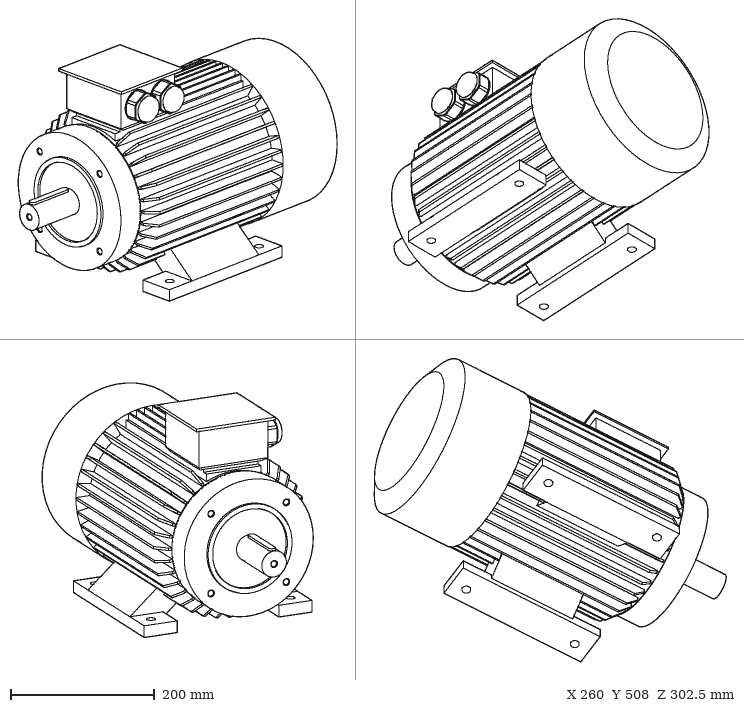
import cadquery as cq
import math


overall_length = 508.0
shaft_length = 80.5
back_y = overall_length - shaft_length
shaft_height = 132.0
top_z = 170.5
overlap = 5.0

flange_diameter = 200.0
flange_thickness = 39.5
spigot_diameter = 130.0
spigot_height = 4.0
recess_diameter = 116.0
flange_hole_circle = 165.0

tapped_hole_diameter = 8.0
tapped_hole_mouth = 10.0
tapped_hole_depth = 15.0
drill_point_angle = 118.0

shaft_diameter = 38.0
key_width = 10.0
key_top_z = 22.0
key_height = 8.0
key_length = 73.5
key_end_gap = 2.0

core_diameter = 197.0
fin_diameter = 237.5
fin_thickness = 3.5
fin_count = 36
fin_front_y = 43.0
fin_bevel = 16.0
top_angle = 90.0
bare_half_angle = 25.0

cowl_diameter = 240.0
cowl_length = 125.0
cowl_back_diameter = 183.0
cowl_taper_length = 17.5
cowl_front_y = back_y - cowl_length

box_centre_y = 101.5
lid_width = 122.0
lid_thickness = 4.0
box_width = 106.0
box_bottom_z = 104.0
box_bevel_height = 6.0
box_side_inset = 5.0
box_front_inset = 8.5
box_back_inset = 4.0

block_width = 84.5
block_front_y = 48.0
block_top_z = box_bottom_z
block_ledge_z = 100.0
block_ledge_back_y = box_centre_y - box_width / 2 + box_front_inset
top_fin_count = 7
top_fin_pitch = 12.0
top_fin_thickness = 3.0
top_fin_front_y = 165.0
top_fin_bevel = 9.5

gland_ys = (78.0, 128.0)
gland_z = 138.0
gland_collar_diameter = 43.5
gland_collar_thickness = 2.0
gland_nut_across_flats = 41.5
gland_nut_across_corners = 45.5
gland_nut_end_x = 72.5
gland_nut_bevel = 1.0
gland_neck_diameter = 32.5
gland_cap_diameter = 37.0
gland_cap_start_x = 74.5
gland_cap_end_x = 83.0
gland_cap_rounding = 5.0

foot_outer_x = 130.0
foot_width = 51.5
foot_thickness = 17.5
foot_length = 224.5
foot_centre_y = 178.0
foot_hole_diameter = 12.0
foot_hole_x = 108.0
foot_hole_spacing = 178.0
web_front_y = 110.5
web_back_y = 244.0
web_angle = 40.9
web_reach = 76.0
web_foot_overlap = 8.0


def cylinder_y(diameter, start_y, end_y):
    """Cylinder on the motor axis from start_y to end_y."""
    plane = cq.Workplane("XZ", origin=(0, end_y, 0))
    return plane.circle(diameter / 2).extrude(end_y - start_y)


def box_between(x_range, y_range, z_range):
    """Upright block filling the given ranges."""
    size = [high - low for low, high in (x_range, y_range, z_range)]
    corner = (x_range[0], y_range[0], z_range[0])
    return cq.Workplane("XY").box(*size, centered=False).translate(corner)


def tapped_hole(x, mouth_y, z):
    """Cutter for a blind hole along Y with a bevelled mouth and a conical drill point."""
    radius = tapped_hole_diameter / 2
    mouth_radius = tapped_hole_mouth / 2
    point_length = radius / math.tan(math.radians(drill_point_angle / 2))
    return (
        cq.Workplane("XY")
        .lineTo(mouth_radius, 0)
        .lineTo(radius, mouth_radius - radius)
        .lineTo(radius, tapped_hole_depth)
        .lineTo(0, tapped_hole_depth + point_length)
        .close()
        .revolve(360, (0, 0, 0), (0, 1, 0))
        .translate((x, mouth_y, z))
    )


def make_flange():
    flange = cylinder_y(flange_diameter, 0, flange_thickness)
    spigot = cylinder_y(spigot_diameter, -spigot_height, overlap)
    recess = cylinder_y(recess_diameter, -spigot_height, 0)
    flange = flange.union(spigot).cut(recess)
    hole_offset = flange_hole_circle / 2 / math.sqrt(2)
    for x in (-hole_offset, hole_offset):
        for z in (-hole_offset, hole_offset):
            flange = flange.cut(tapped_hole(x, 0, z))
    return flange


def make_shaft():
    shaft = cylinder_y(shaft_diameter, -shaft_length, overlap)
    key_centre_y = key_end_gap - shaft_length + key_length / 2
    key = (
        cq.Workplane("XY", origin=(0, key_centre_y, key_top_z - key_height))
        .slot2D(key_length, key_width, 90)
        .extrude(key_height)
    )
    return shaft.union(key).cut(tapped_hole(0, -shaft_length, 0))


def make_cowl():
    rim = cowl_diameter / 2
    back_rim = cowl_back_diameter / 2
    return (
        cq.Workplane("XY")
        .moveTo(0, cowl_front_y)
        .lineTo(rim, cowl_front_y)
        .lineTo(rim, back_y - cowl_taper_length)
        .lineTo(back_rim, back_y)
        .lineTo(0, back_y)
        .close()
        .revolve(360, (0, 0, 0), (0, 1, 0))
    )


def make_radial_fins():
    """Fins around the frame, each running from the flange end into the cowl."""
    tip = fin_diameter / 2
    root = core_diameter / 2 - overlap
    fin = (
        cq.Workplane("XY")
        .moveTo(root, fin_front_y)
        .lineTo(tip - fin_bevel, fin_front_y)
        .lineTo(tip, fin_front_y + fin_bevel)
        .lineTo(tip, cowl_front_y + overlap)
        .lineTo(root, cowl_front_y + overlap)
        .close()
        .extrude(fin_thickness / 2, both=True)
    )
    fins = []
    for index in range(fin_count):
        angle = index * 360 / fin_count
        if abs(angle - top_angle) > bare_half_angle:
            fins.append(fin.rotate((0, 0, 0), (0, 1, 0), -angle).val())
    return fins


def make_block():
    """Block along the top of the frame, with a lower ledge at its front end."""
    x_range = (-block_width / 2, block_width / 2)
    block = box_between(x_range, (block_ledge_back_y, cowl_front_y + overlap), (0, block_top_z))
    ledge = box_between(x_range, (block_front_y, block_ledge_back_y + overlap), (0, block_ledge_z))
    return block.union(ledge)


def make_top_fins():
    """Upright fins behind the terminal box, with tips on the circle of the radial fins."""
    fins = []
    for index in range(top_fin_count):
        x = (index - (top_fin_count - 1) / 2) * top_fin_pitch
        tip = math.sqrt((fin_diameter / 2) ** 2 - x**2)
        fin = (
            cq.Workplane("YZ", origin=(x, 0, 0))
            .moveTo(top_fin_front_y, 0)
            .lineTo(top_fin_front_y, tip - top_fin_bevel)
            .lineTo(top_fin_front_y + top_fin_bevel, tip)
            .lineTo(cowl_front_y + overlap, tip)
            .lineTo(cowl_front_y + overlap, 0)
            .close()
            .extrude(top_fin_thickness / 2, both=True)
        )
        fins.append(fin.val())
    return fins


def make_terminal_box():
    lid_bottom_z = top_z - lid_thickness
    wall_bottom_z = box_bottom_z + box_bevel_height
    base_width = box_width - 2 * box_side_inset
    base_length = box_width - box_front_inset - box_back_inset
    base_shift = (box_front_inset - box_back_inset) / 2
    base = (
        cq.Workplane("XY", origin=(0, box_centre_y, box_bottom_z))
        .center(0, base_shift)
        .rect(base_width, base_length)
        .workplane(offset=box_bevel_height)
        .center(0, -base_shift)
        .rect(box_width, box_width)
        .loft(ruled=True)
    )
    walls = (
        cq.Workplane("XY", origin=(0, box_centre_y, wall_bottom_z))
        .rect(box_width, box_width)
        .extrude(lid_bottom_z - wall_bottom_z)
    )
    lid = (
        cq.Workplane("XY", origin=(0, box_centre_y, lid_bottom_z))
        .rect(lid_width, lid_width)
        .extrude(lid_thickness)
    )
    return base.union(walls).union(lid)


def make_gland(y):
    wall_x = box_width / 2
    start_x = wall_x - overlap
    nut_start_x = wall_x + gland_collar_thickness
    nut_length = gland_nut_end_x - nut_start_x

    def disc(diameter, end_x, from_x=start_x):
        plane = cq.Workplane("YZ", origin=(from_x, y, gland_z))
        return plane.circle(diameter / 2).extrude(end_x - from_x)

    def hexagon(across_flats, turn):
        plane = cq.Workplane("YZ", origin=(nut_start_x, y, gland_z))
        prism = plane.polygon(6, across_flats, circumscribed=True).extrude(nut_length)
        return prism.rotate((0, y, gland_z), (1, y, gland_z), turn)

    nut = hexagon(gland_nut_across_flats, 0).intersect(hexagon(gland_nut_across_corners, 90))
    nut = nut.faces(">X").edges().chamfer(gland_nut_bevel)
    collar = disc(gland_collar_diameter, nut_start_x)
    neck = disc(gland_neck_diameter, gland_cap_start_x)
    cap = disc(gland_cap_diameter, gland_cap_end_x, gland_cap_start_x)
    cap = cap.faces(">X").edges().fillet(gland_cap_rounding)
    return collar.union(neck).union(nut).union(cap)


def make_foot():
    """Foot on the +X side: drilled plate and slanted web up to the frame."""
    inner_x = foot_outer_x - foot_width
    plate_top_z = foot_thickness - shaft_height
    plate = (
        cq.Workplane("XY", origin=(foot_outer_x - foot_width / 2, foot_centre_y, -shaft_height))
        .rect(foot_width, foot_length)
        .extrude(foot_thickness)
    )
    holes = (
        cq.Workplane("XY", origin=(foot_hole_x, foot_centre_y, -shaft_height))
        .rarray(5, foot_hole_spacing, 1, 2)
        .circle(foot_hole_diameter / 2)
        .extrude(foot_thickness)
    )
    run = web_reach * math.cos(math.radians(web_angle))
    rise = web_reach * math.sin(math.radians(web_angle))
    web_low_z = plate_top_z - web_foot_overlap
    web = (
        cq.Workplane("XZ", origin=(0, web_back_y, 0))
        .moveTo(foot_outer_x, plate_top_z)
        .lineTo(foot_outer_x - run, plate_top_z + rise)
        .lineTo(inner_x - run, web_low_z + rise)
        .lineTo(inner_x, web_low_z)
        .lineTo(foot_outer_x, web_low_z)
        .close()
        .extrude(web_back_y - web_front_y)
    )
    return plate.cut(holes).union(web)


core = cylinder_y(core_diameter, flange_thickness - overlap, cowl_front_y + overlap)
foot = make_foot()
pieces = [make_flange(), make_shaft(), make_cowl(), make_block(), make_terminal_box()]
pieces += [foot, foot.mirror("YZ")]
pieces += [make_gland(y) for y in gland_ys]
shapes = [piece.val() for piece in pieces] + make_radial_fins() + make_top_fins()
result = cq.Workplane(core.val().fuse(*shapes))